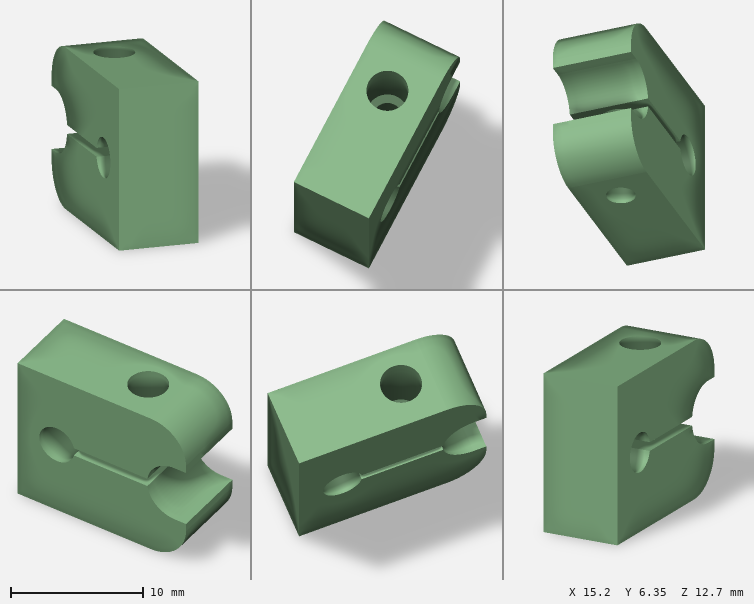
import cadquery as cq

length = 15.24
width = 6.35
height = 12.7
nose_radius = 3.17

mouth_diameter = 4.97
mouth_center_x = 1.04
slit_height = 0.7
relief_diameter = 3.17
relief_center_x = 11.69

screw_x = 5.61
screw_y = -0.14
clearance_diameter = 3.17
lower_hole_diameter = 2.25


def split_cylinder(diameter, center_x):
    """Cylinder along Y, through the full width, centered on the split plane."""
    profile = cq.Workplane("XZ").center(center_x, 0).circle(diameter / 2)
    return profile.extrude(width / 2, both=True)


def split_slot(slot_height, end_x):
    """Rectangular slot from the nose face to end_x, through the full width."""
    return cq.Workplane("XY").box(end_x, width, slot_height).translate((end_x / 2, 0, 0))


def screw_hole(diameter, start_z):
    """Vertical hole through one jaw, rising from start_z."""
    profile = cq.Workplane("XY", origin=(screw_x, screw_y, start_z)).circle(diameter / 2)
    return profile.extrude(height / 2)


block = cq.Workplane("XY").box(length, width, height).translate((length / 2, 0, 0))
block = block.edges("|Y and <X").fillet(nose_radius)

mouth = split_slot(mouth_diameter, mouth_center_x).union(split_cylinder(mouth_diameter, mouth_center_x))
slit = split_slot(slit_height, relief_center_x)
relief = split_cylinder(relief_diameter, relief_center_x)

result = (
    block.cut(mouth)
    .cut(slit)
    .cut(relief)
    .cut(screw_hole(clearance_diameter, 0))
    .cut(screw_hole(lower_hole_diameter, -height / 2))
)